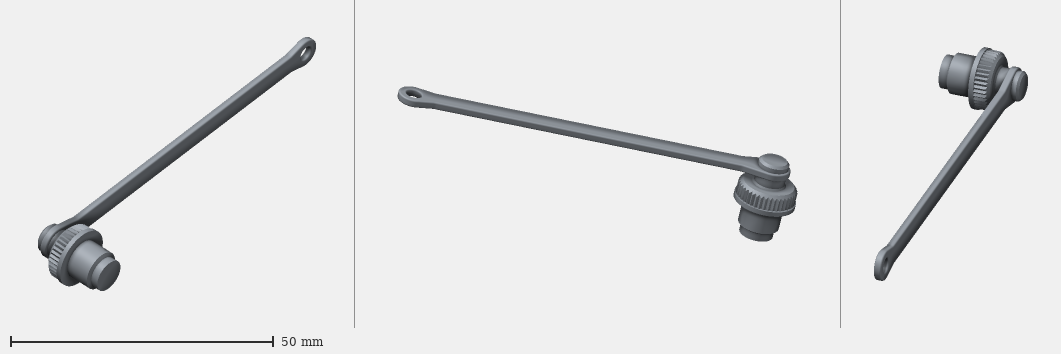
import cadquery as cq
import math


neck_end = 4.65
knob_start = 5.0
flange_start = 8.05
flange_end = 9.0
barrel_end = 14.0
tip_start = 14.45
plug_length = 16.0

neck_radius = 5.9 / 2
neck_flare_radius = 6.6 / 2
flange_radius = 12.0 / 2
barrel_radius = 8.0 / 2
tip_radius = 6.55 / 2
neck_bevel = 0.5

knob_radius = 5.8
knob_bevel = 0.8
knurl_root_radius = 5.4
knurl_count = 40

overall_length = 79.0
strap_start = 1.4
strap_thickness = 1.5
strap_width = 4.0
ring_radius = 6.95 / 2
eye_radius = 6.0 / 2
eye_hole_radius = 3.0 / 2
taper_angle = math.radians(15)
blend_radius = 2.4
strap_edge_round = 0.3

strap_half_width = strap_width / 2
eye_center_y = overall_length - flange_radius - eye_radius


def revolve_about_x(profile):
    """Turn a closed (X, radius) profile into a solid around the X axis."""
    return cq.Workplane("XY").polyline(profile).close().revolve(360, (0, 0, 0), (1, 0, 0))


def make_plug_body():
    """Turned plug without its knob: neck, flange, barrel and tip."""
    return revolve_about_x([
        (0, 0),
        (0, neck_radius - neck_bevel),
        (neck_bevel, neck_radius),
        (neck_end, neck_radius),
        (knob_start, neck_flare_radius),
        (flange_start, neck_flare_radius),
        (flange_start, flange_radius),
        (flange_end, flange_radius),
        (flange_end, barrel_radius),
        (barrel_end, barrel_radius),
        (tip_start, tip_radius),
        (plug_length, tip_radius),
        (plug_length, 0),
    ])


def make_knob():
    """Knurled knob with a bevelled front rim."""
    blank = revolve_about_x([
        (knob_start, 0),
        (knob_start, knob_radius - knob_bevel),
        (knob_start + knob_bevel, knob_radius),
        (flange_start, knob_radius),
        (flange_start, 0),
    ])
    return blank.intersect(make_knurl_envelope())


def make_knurl_envelope():
    """Star-shaped prism with sharp teeth that covers the length of the knob."""
    points = []
    for tooth in range(knurl_count):
        root_angle = 2 * math.pi * tooth / knurl_count
        crest_angle = root_angle + math.pi / knurl_count
        for radius, angle in ((knurl_root_radius, root_angle), (knob_radius, crest_angle)):
            points.append((radius * math.cos(angle), radius * math.sin(angle)))
    return (
        cq.Workplane("YZ", origin=(knob_start, 0, 0))
        .polyline(points)
        .close()
        .extrude(flange_start - knob_start)
    )


def tangent_offset(radius):
    """Distances along Y and Z from a round end's centre to the start of its tapered side."""
    return radius * math.sin(taper_angle), radius * math.cos(taper_angle)


def taper_length(radius):
    """Distance along Y from a round end's centre to where the strap becomes straight."""
    return (radius - strap_half_width * math.cos(taper_angle)) / math.sin(taper_angle)


def make_strap():
    """Flat strap with a ring around the plug neck and a holed eye at the far end."""
    ring_y, ring_z = tangent_offset(ring_radius)
    eye_offset_y, eye_z = tangent_offset(eye_radius)
    eye_y = eye_center_y - eye_offset_y
    ring_taper_y = taper_length(ring_radius)
    eye_taper_y = eye_center_y - taper_length(eye_radius)
    strap = (
        cq.Workplane("YZ", origin=(strap_start, 0, 0))
        .moveTo(ring_y, ring_z)
        .threePointArc((-ring_radius, 0), (ring_y, -ring_z))
        .lineTo(ring_taper_y, -strap_half_width)
        .lineTo(eye_taper_y, -strap_half_width)
        .lineTo(eye_y, -eye_z)
        .threePointArc((eye_center_y + eye_radius, 0), (eye_y, eye_z))
        .lineTo(eye_taper_y, strap_half_width)
        .lineTo(ring_taper_y, strap_half_width)
        .close()
        .extrude(strap_thickness)
    )
    for corner_y in (ring_taper_y, eye_taper_y):
        for corner_z in (strap_half_width, -strap_half_width):
            corner = cq.selectors.NearestToPointSelector(
                (strap_start + strap_thickness / 2, corner_y, corner_z)
            )
            strap = strap.edges("|X").edges(corner).fillet(blend_radius)
    hole = (
        cq.Workplane("YZ", origin=(strap_start, eye_center_y, 0))
        .circle(eye_hole_radius)
        .extrude(strap_thickness)
    )
    return strap.cut(hole).faces("<X or >X").edges().fillet(strap_edge_round)


result = make_plug_body().union(make_knob()).union(make_strap())